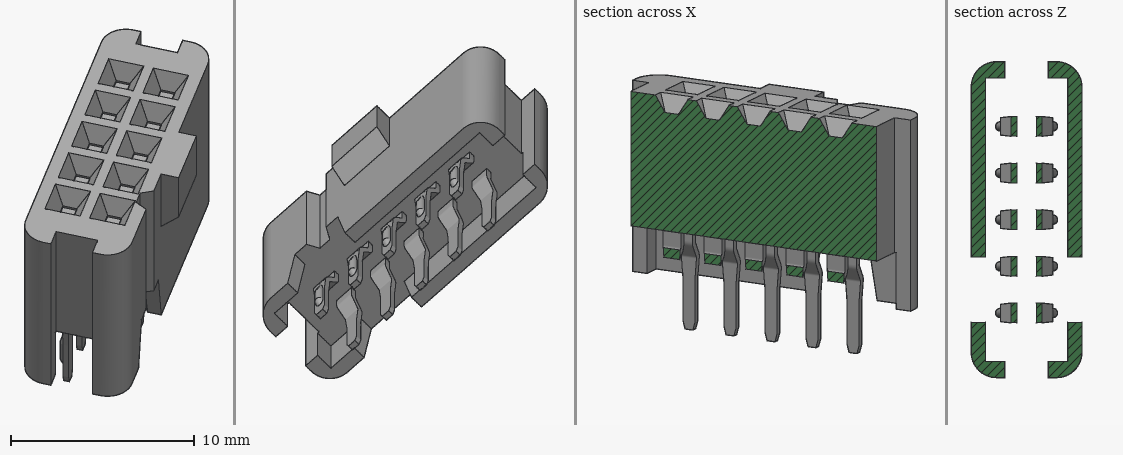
import cadquery as cq
import math


housing_length = 17.22
housing_width = 6.05
housing_height = 10.8
corner_radius = 1.4
half_length = housing_length / 2
half_width = housing_width / 2

row_count = 5
row_span = 10.16
row_pitch = row_span / (row_count - 1)
column_pitch = row_pitch
row_positions = [row * row_pitch - row_span / 2 for row in range(row_count)]
side_signs = (-1, 1)

socket_size = 2.0
socket_floor_size = 0.8
socket_taper_depth = 0.93
socket_floor_step = 0.12

tab_length = 3.4
tab_reach = 1.0
tab_straight_height = 3.0

end_slot_width = 2.36
end_slot_depth = 1.0

notch_depth = 0.67
notch_mouth = 1.48
notch_floor = 0.74
key_position = (row_positions[0] + row_positions[1]) / 2

recess_height = 3.19
side_wall = 0.8
end_wall = 0.9
window_top = 3.22
window_bottom = 4.3

pin_thickness = 0.33
pin_bottom = -2.8
pin_top_width = 1.12
pin_width = 0.74
pin_tip_width = 0.48
pin_tip_height = 0.45
pin_upper_center = 0.67
pin_lower_center = column_pitch / 2
bend_top = 2.22
bend_bottom = 1.38
bend_inner_radius = 0.25
taper_top = 2.45
taper_bottom = 0.05

rib_radius = 0.25
rib_upper_tip = 0.93
rib_upper_shoulder = -0.07
rib_lower_shoulder = -1.36
rib_lower_tip = -1.79


def make_housing():
    """Rounded block with latch tab, end slots and keying notch."""
    block = cq.Workplane("XY").box(
        housing_width, housing_length, housing_height, centered=(True, True, False)
    )
    block = block.edges("|Z").fillet(corner_radius)

    tab_tip = half_width + tab_reach
    tab_straight_bottom = housing_height - tab_straight_height
    tab_outline = [
        (0, housing_height),
        (tab_tip, housing_height),
        (tab_tip, tab_straight_bottom),
        (half_width, tab_straight_bottom - tab_reach),
        (0, tab_straight_bottom - tab_reach),
    ]
    tab = cq.Workplane("XZ").polyline(tab_outline).close().extrude(tab_length / 2, both=True)
    block = block.union(tab)

    end_slots = (
        cq.Workplane("XY")
        .pushPoints([(0, side * half_length) for side in side_signs])
        .rect(end_slot_width, 2 * end_slot_depth)
        .extrude(housing_height)
    )

    notch_outline = [
        (half_width, key_position - notch_mouth / 2),
        (half_width, key_position + notch_mouth / 2),
        (half_width - notch_depth, key_position + notch_floor / 2),
        (half_width - notch_depth, key_position - notch_floor / 2),
    ]
    notch = cq.Workplane("XY").polyline(notch_outline).close().extrude(housing_height)
    return block.cut(end_slots).cut(notch)


def make_socket():
    """Square funnel with a short straight well at its bottom, centred on X = Y = 0."""
    funnel = (
        cq.Workplane("XY")
        .workplane(offset=housing_height)
        .rect(socket_size, socket_size)
        .workplane(offset=-socket_taper_depth)
        .rect(socket_floor_size, socket_floor_size)
        .loft()
    )
    well = (
        cq.Workplane("XY")
        .workplane(offset=housing_height - socket_taper_depth)
        .rect(socket_floor_size, socket_floor_size)
        .extrude(-socket_floor_step)
    )
    return funnel.union(well)


def make_recess():
    """Hollow under the housing, with a trapezoid window through both long walls."""
    hollow = cq.Workplane("XY").box(
        housing_width - 2 * side_wall,
        housing_length - 2 * end_wall,
        recess_height,
        centered=(True, True, False),
    )
    window_outline = [
        (key_position - window_bottom / 2, 0),
        (key_position + window_bottom / 2, 0),
        (key_position + window_top / 2, recess_height),
        (key_position - window_top / 2, recess_height),
    ]
    windows = cq.Workplane("YZ").polyline(window_outline).close().extrude(housing_width, both=True)
    return hollow.union(windows)


def make_pin():
    """Cranked flat pin of the +X column, lying in the plane Y = 0."""
    crank_angle = math.atan2(pin_lower_center - pin_upper_center, bend_top - bend_bottom)
    half_thickness = pin_thickness / 2
    miter_rise = half_thickness * math.tan(crank_angle / 2)
    upper_in = pin_upper_center - half_thickness
    upper_out = pin_upper_center + half_thickness
    lower_in = pin_lower_center - half_thickness
    lower_out = pin_lower_center + half_thickness
    side_profile = [
        (upper_in, recess_height),
        (upper_out, recess_height),
        (upper_out, bend_top + miter_rise),
        (lower_out, bend_bottom + miter_rise),
        (lower_out, pin_bottom),
        (lower_in, pin_bottom),
        (lower_in, bend_bottom - miter_rise),
        (upper_in, bend_top - miter_rise),
    ]
    strip = cq.Workplane("XZ").polyline(side_profile).close().extrude(pin_top_width, both=True)

    def bend_edge(x, z):
        return strip.edges(cq.selectors.NearestToPointSelector((x, 0, z)))

    inner_bends = bend_edge(*side_profile[2]).add(bend_edge(*side_profile[6]))
    strip = inner_bends.fillet(bend_inner_radius)
    outer_bends = bend_edge(*side_profile[3]).add(bend_edge(*side_profile[7]))
    strip = outer_bends.fillet(bend_inner_radius + pin_thickness)

    half_outline = [
        (pin_top_width / 2, recess_height),
        (pin_top_width / 2, taper_top),
        (pin_width / 2, taper_bottom),
        (pin_width / 2, pin_bottom + pin_tip_height),
        (pin_tip_width / 2, pin_bottom),
    ]
    mirrored = [(-y, z) for y, z in reversed(half_outline)]
    blank = cq.Workplane("YZ").polyline(half_outline + mirrored).close().extrude(half_width)
    return strip.intersect(blank).union(make_rib(lower_out))


def make_rib(face_x):
    """Half-round rib on the pin face at X = face_x, sinking into it at both ends."""
    sections = [
        (face_x - rib_radius, rib_lower_tip),
        (face_x, rib_lower_shoulder),
        (face_x, rib_upper_shoulder),
        (face_x - rib_radius, rib_upper_tip),
    ]
    circles = [
        cq.Workplane(cq.Plane((x, 0, z), xDir=(-1, 0, 0))).circle(rib_radius).wire().val()
        for x, z in sections
    ]
    bar = cq.Workplane(cq.Solid.makeLoft(circles, True))
    root = pin_thickness / 2
    keep = cq.Workplane("XY", origin=(face_x - root, 0, 0)).box(
        root + 2 * rib_radius, pin_width, 2 * housing_height, centered=(False, True, True)
    )
    return bar.intersect(keep)


housing = make_housing().cut(make_recess())

socket = make_socket()
right_pin = make_pin()
left_pin = right_pin.mirror("YZ")

result = housing
for row_y in row_positions:
    for side in side_signs:
        result = result.cut(socket.translate((side * column_pitch / 2, row_y, 0)))
    for pin in (left_pin, right_pin):
        result = result.union(pin.translate((0, row_y, 0)))